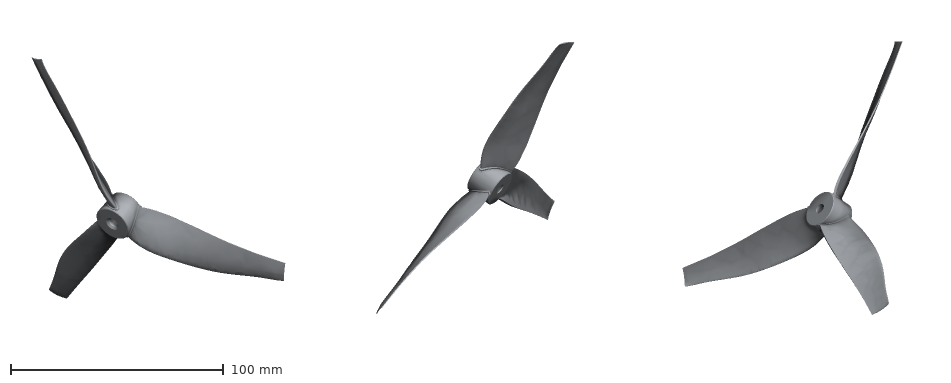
import cadquery as cq
import math

HUB_RADIUS = 9.0
HUB_LENGTH = 13.0
HUB_EDGE_CHAMFER = 0.3
BORE_RADIUS = 2.5
COUNTERSINK_RADIUS = 3.5
COLLAR_HEIGHT = 0.6
COLLAR_MARGIN = 0.6

BLADE_COUNT = 3
TIP_LEAN = 0.1
CAMBER_RATIO = 0.06

STATIONS = [
    (6.0, (-4.5, -5.5), (4.5, 5.4), 2.8),
    (18.1, (-7.0, -6.3), (7.1, 6.3), 2.8),
    (30.0, (-6.0, -6.6), (6.8, 7.5), 2.2),
    (41.8, (-4.1, -6.5), (6.0, 8.5), 1.7),
    (53.7, (-2.4, -5.2), (5.4, 9.3), 1.4),
    (65.5, (-0.2, -2.8), (5.4, 10.0), 1.1),
    (77.3, (2.0, 0.0), (6.0, 10.5), 1.0),
    (89.2, (4.4, 2.2), (7.1, 11.4), 0.6),
]

THICKNESS_FORM = [(0.03, 0.45), (0.12, 0.8), (0.35, 1.0), (0.7, 0.75), (1.0, 0.4)]


def section_wire(span, leading, trailing, thickness, margin):
    """Cambered aerofoil with a round leading edge and a blunt trailing edge, enlarged by the margin."""
    chord_y = trailing[0] - leading[0]
    chord_z = trailing[1] - leading[1]
    chord = math.hypot(chord_y, chord_z)
    normal_y = -chord_z / chord
    normal_z = chord_y / chord

    def point(fraction, surface_offset):
        fraction += (2 * fraction - 1) * margin / chord
        camber = CAMBER_RATIO * chord * 4 * fraction * (1 - fraction)
        offset = camber + surface_offset
        y = leading[0] + fraction * chord_y + offset * normal_y
        z = leading[1] + fraction * chord_z + offset * normal_z
        return cq.Vector(span - TIP_LEAN * z, y, z)

    half_thickness = thickness / 2 + margin
    front = [point(f, half_thickness * t) for f, t in THICKNESS_FORM]
    back = [point(f, -half_thickness * t) for f, t in THICKNESS_FORM]
    surface = cq.Edge.makeSpline(front[::-1] + [point(0, 0)] + back)
    trailing_edge = cq.Edge.makeLine(back[-1], front[-1])
    return cq.Wire.assembleEdges([surface, trailing_edge])


def blade_solid(margin=0.0):
    wires = [section_wire(*station, margin) for station in STATIONS]
    return cq.Workplane(cq.Solid.makeLoft(wires))


def hub_cylinder(radius, length, front_y):
    plane = cq.Plane(origin=(0, front_y, 0), xDir=(-1, 0, 0), normal=(0, 1, 0))
    return cq.Workplane(plane).circle(radius).extrude(length)


front_y = -HUB_LENGTH / 2
hub = hub_cylinder(HUB_RADIUS, HUB_LENGTH, front_y)
hub = hub.faces("<Y or >Y").edges().chamfer(HUB_EDGE_CHAMFER)
bore = hub_cylinder(BORE_RADIUS, HUB_LENGTH, front_y)
countersink = cq.Workplane(cq.Solid.makeCone(
    COUNTERSINK_RADIUS,
    BORE_RADIUS,
    COUNTERSINK_RADIUS - BORE_RADIUS,
    pnt=cq.Vector(0, front_y, 0),
    dir=cq.Vector(0, 1, 0),
))

collar_limit = hub_cylinder(HUB_RADIUS + COLLAR_HEIGHT, HUB_LENGTH, front_y)
collar = blade_solid(COLLAR_MARGIN).intersect(collar_limit)
blade = blade_solid().union(collar)

propeller = hub
for index in range(BLADE_COUNT):
    propeller = propeller.union(blade.rotate((0, 0, 0), (0, 1, 0), index * 360 / BLADE_COUNT))

result = propeller.cut(bore).cut(countersink)